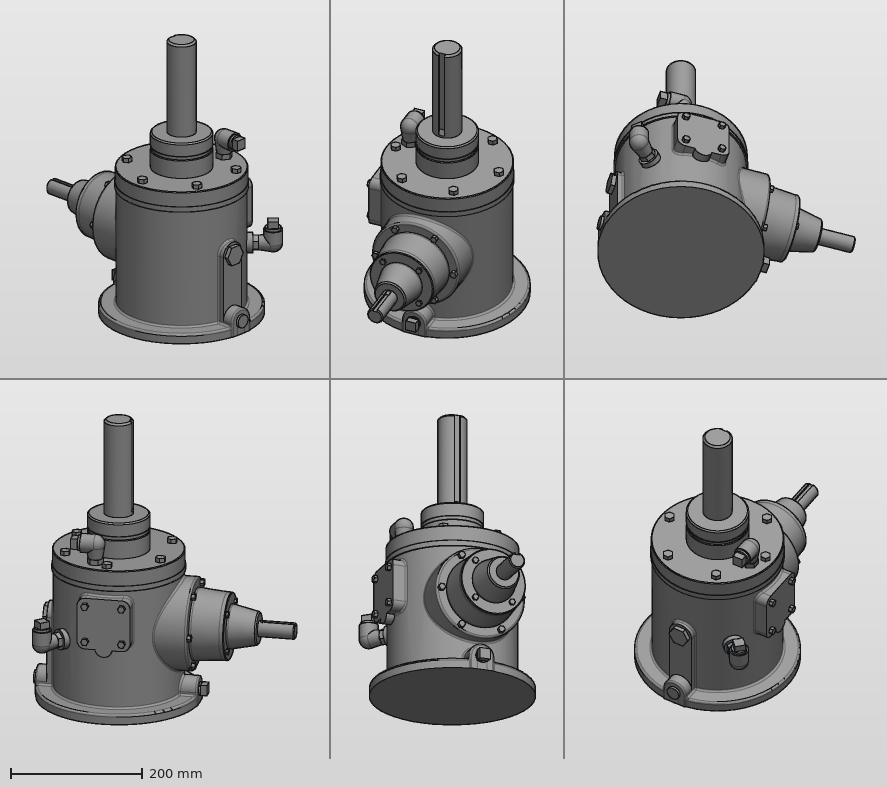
import cadquery as cq
import math

body_radius = 100.0
foot_radius = 254.0 / 2
foot_height = 16.2
foot_edge_round = 3.5
casting_fillet = 3.0
ring_bottom = 208.0
ring_radius = 102.5
lid_bottom = 216.5
lid_top = 240.8
lid_radius = 101.5
lid_chamfer = 1.5

neck_radius = 48.0
neck_top = 298.5
neck_chamfer = 2.3
groove_bottom = 269.5
groove_top = 276.5
groove_depth = 1.5
shaft_radius = 22.5
shaft_top = 451.0
shaft_chamfer = 3.0
shaft_key_width = 9.5
shaft_key_depth = 4.5
shaft_key_end = 301.5
shaft_key_ramp = 8.5

drive_height = 126.5
bell_radius = 72.5
bell_joint_x = -107.8
bell_face_x = -121.0
bell_round = 3.0
drum_rear_radius = 56.5
drum_front_radius = 52.7
drum_rear_x = -124.0
drum_front_x = -167.3
drum_face_x = -174.5
drum_chamfer = 1.5
nose_rear_radius = 34.5
nose_front_radius = 26.0
nose_rear_x = -177.0
nose_face_x = -219.0
nose_chamfer = 2.3
input_radius = 12.5
input_end_x = -276.0
input_chamfer = 2.0
input_key_width = 6.8
input_key_depth = 3.5
input_key_end_x = -221.5
input_key_ramp = 6.0

boss_radius = 20.0
boss_height = 22.0
boss_face_x = 126.5
boss_edge_round = 2.5
plug_collar_radius = 21.0 / 2
plug_collar_length = 2.5
plug_square = 16.5
plug_end_x = -139.5
cap_end_x = 130.7
rib_face_x = 108.0
rib_plug_end_x = 115.0
rib_plug_flats = 29.5

cover_face_y = 112.5
cover_height = 156.5
cover_bolt_offset = 57.3 / 2
cover_corner = 12.5
cover_half = cover_bolt_offset + cover_corner
lobe_radius = 13.5
lobe_bottom = 103.5

elbow_hex_flats = 22.0
elbow_hex_height = 8.5
elbow_stem_radius = 11.3
elbow_centre = 31.0
elbow_radius = 29.5 / 2
elbow_arm = 22.0
elbow_collar_radius = 12.0
elbow_collar_length = 4.0
elbow_square = 16.5
elbow_square_length = 11.0
lid_elbow_x = 21.0
lid_elbow_y = 71.2
side_elbow_angle = 45
side_elbow_height = 113.5
side_pad_radius = 16.0
side_pad_distance = 108.5

lid_bolt_flats = 13.5
lid_bolt_head = 6.8
lid_bolt_pitch = 171.8 / 2
bell_bolt_flats = 9.5
bell_bolt_head = 6.0
bell_bolt_pitch = 65.0
drum_bolt_flats = 8.5
drum_bolt_head = 3.4
drum_bolt_pitch = 42.5
cover_bolt_flats = 10.0
cover_bolt_head = 6.0

seat = 4.5
arch_root_x = 67.5


def frame(origin, normal, x_dir):
    return cq.Workplane(cq.Plane(origin=origin, xDir=x_dir, normal=normal))


def on_drive(x):
    """Plane across the drive axis at x, facing -X, with its local y direction along +Z."""
    return frame((x, 0, drive_height), (-1, 0, 0), (0, -1, 0))


def cylinder(base, radius, length):
    """Round bar standing on the plane base, rooted a little behind it."""
    return base.workplane(offset=-seat).circle(radius).extrude(seat + length)


def square_end(base, width, length):
    """Square bar standing on the plane base, rooted a little behind it."""
    return base.workplane(offset=-seat).rect(width, width).extrude(seat + length)


def hex_heads(base, points, flats, height, turn=0):
    """Hexagon heads on the plane base; turn spins each head about its own centre."""
    corners = flats / math.cos(math.pi / 6)
    head = cq.Workplane().polygon(6, corners).extrude(seat + height)
    head = head.rotate((0, 0, 0), (0, 0, 1), turn).val()
    heads = base.workplane(offset=-seat).pushPoints(points)
    return heads.eachpoint(head, useLocalCoordinates=True, combine="a")


def ring_points(pitch, count, start):
    angles = [math.radians(start + i * 360 / count) for i in range(count)]
    return [(pitch * math.cos(a), pitch * math.sin(a)) for a in angles]


def revolved(profile):
    """Solid of revolution about Z from (radius, height) points."""
    return cq.Workplane("XZ").polyline(profile).close().revolve(360, (0, 0), (0, 1))


def join(base, piece, radius):
    """Union with a fillet along every new edge inside the flat top of the foot."""
    joined = base.union(piece)
    old_edges = cq.Compound.makeCompound(base.edges().vals() + piece.edges().vals())
    reach = foot_radius - foot_edge_round

    def is_seam(edge):
        middle = edge.positionAt(0.5)
        inside = math.hypot(middle.x, middle.y) < reach
        return inside and old_edges.distance(cq.Vertex.makeVertex(*middle.toTuple())) > 0.05

    seams = [edge for edge in joined.edges().vals() if is_seam(edge)]
    return joined.newObject(seams).fillet(radius)


def make_arch(height, face_x):
    """Round-topped upright block running from inside the body out to face_x."""
    profile = frame((arch_root_x, 0, 0), (1, 0, 0), (0, 1, 0))
    profile = profile.moveTo(-boss_radius, 0).lineTo(-boss_radius, height)
    profile = profile.threePointArc((0, height + boss_radius), (boss_radius, height))
    return profile.lineTo(boss_radius, 0).close().extrude(face_x - arch_root_x)


def make_casting():
    """Foot, body, drive bell, foot bosses, rib and cover box, joined with soft fillets."""
    foot = cq.Workplane().circle(foot_radius).extrude(foot_height)
    foot = foot.faces(">Z").edges().fillet(foot_edge_round)
    body = cq.Workplane().circle(body_radius).extrude(ring_bottom)
    bell = on_drive(0).circle(bell_radius).extrude(-bell_joint_x)

    cover = frame((0, 0, cover_height), (0, 1, 0), (-1, 0, 0))
    cover = cover.rect(2 * cover_half, 2 * cover_half).extrude(cover_face_y)
    cover = cover.edges("|Y").fillet(cover_corner)

    rib = make_arch(drive_height, rib_face_x)
    boss = make_arch(boss_height, boss_face_x)
    boss = boss.faces(">X").edges(">Z").fillet(boss_edge_round)

    casting = body
    for piece in (bell, cover, boss.union(rib), boss.mirror("YZ"), foot):
        casting = join(casting, piece, casting_fillet)
    return casting


def make_lid():
    """Clamping ring, lid, grooved neck and six lid bolts."""
    ring = cq.Workplane().workplane(offset=ring_bottom).circle(ring_radius).extrude(lid_bottom - ring_bottom)
    lid = cq.Workplane().workplane(offset=lid_bottom).circle(lid_radius).extrude(lid_top - lid_bottom)
    lid = lid.faces(">Z").edges().chamfer(lid_chamfer)
    groove_radius = neck_radius - groove_depth
    neck = revolved([
        (0, lid_top - seat),
        (neck_radius, lid_top - seat),
        (neck_radius, groove_bottom),
        (groove_radius, groove_bottom + groove_depth),
        (groove_radius, groove_top),
        (neck_radius, groove_top),
        (neck_radius, neck_top - neck_chamfer),
        (neck_radius - neck_chamfer, neck_top),
        (0, neck_top),
    ])
    top = cq.Workplane().workplane(offset=lid_top)
    bolts = hex_heads(top, ring_points(lid_bolt_pitch, 6, 30), lid_bolt_flats, lid_bolt_head, turn=30)
    return ring.union(lid).union(neck).union(bolts)


def make_keyed_shaft(radius, start, end, chamfer, key_width, key_depth, key_end, key_ramp):
    """Shaft along Z with a keyway on its -X side, open at the top and ramping out at key_end."""
    shaft = cq.Workplane().workplane(offset=start).circle(radius).extrude(end - start)
    shaft = shaft.faces(">Z").edges().chamfer(chamfer)
    floor = -(radius - key_depth)
    keyway = cq.Workplane("XZ").polyline([
        (-radius, key_end),
        (floor, key_end + key_ramp),
        (floor, end),
        (-radius, end),
    ]).close().extrude(key_width / 2, both=True)
    return shaft.cut(keyway)


def make_output_shaft():
    return make_keyed_shaft(
        shaft_radius, neck_top - seat, shaft_top, shaft_chamfer,
        shaft_key_width, shaft_key_depth, shaft_key_end, shaft_key_ramp,
    )


def along_drive(piece):
    """Lay a piece built along +Z onto the drive axis: +Z becomes -X, and -X becomes +Z."""
    return piece.rotate((0, 0, 0), (0, 1, 0), -90).mirror("XY").translate((0, 0, drive_height))


def make_input_drive():
    """Bell flange, tapered drum, cone nose and keyed input shaft with their bolt rings."""
    flange = on_drive(bell_joint_x).circle(bell_radius).extrude(bell_joint_x - bell_face_x)
    flange = flange.faces("<X").edges().fillet(bell_round)
    housing = revolved([
        (0, -bell_joint_x),
        (drum_rear_radius, -bell_joint_x),
        (drum_rear_radius, -drum_rear_x),
        (drum_front_radius, -drum_front_x),
        (drum_front_radius, -drum_face_x - drum_chamfer),
        (drum_front_radius - drum_chamfer, -drum_face_x),
        (nose_rear_radius, -drum_face_x),
        (nose_rear_radius, -nose_rear_x),
        (nose_front_radius, -nose_face_x - nose_chamfer),
        (nose_front_radius - nose_chamfer, -nose_face_x),
        (0, -nose_face_x),
    ])
    input_shaft = make_keyed_shaft(
        input_radius, -nose_face_x - seat, -input_end_x, input_chamfer,
        input_key_width, input_key_depth, -input_key_end_x, input_key_ramp,
    )
    drive = flange.union(along_drive(housing.union(input_shaft)))
    bell_bolts = ring_points(bell_bolt_pitch, 6, 0)
    drum_bolts = ring_points(drum_bolt_pitch, 4, 45)
    drive = drive.union(hex_heads(on_drive(bell_face_x), bell_bolts, bell_bolt_flats, bell_bolt_head))
    return drive.union(hex_heads(on_drive(drum_face_x), drum_bolts, drum_bolt_flats, drum_bolt_head))


def make_foot_plugs():
    """Square-headed plug on the -X boss, cap on the +X boss and hexagon plug on the rib."""
    plug_face = frame((-boss_face_x, 0, boss_height), (-1, 0, 0), (0, 1, 0))
    plug = cylinder(plug_face, plug_collar_radius, plug_collar_length)
    plug = plug.union(square_end(plug_face, plug_square, -plug_end_x - boss_face_x))
    cap_face = frame((boss_face_x, 0, boss_height), (1, 0, 0), (0, 1, 0))
    cap = cylinder(cap_face, plug_collar_radius, cap_end_x - boss_face_x)
    rib_face = frame((rib_face_x, 0, drive_height), (1, 0, 0), (0, 1, 0))
    rib_plug = hex_heads(rib_face, [(0, 0)], rib_plug_flats, rib_plug_end_x - rib_face_x)
    return [plug, cap, rib_plug]


def make_cover_details():
    """Half-round lobe under the inspection cover and its four bolts."""
    lobe_centre = lobe_bottom + lobe_radius
    lobe = frame((0, 0, lobe_centre), (0, 1, 0), (-1, 0, 0)).circle(lobe_radius).extrude(cover_face_y)
    face = frame((0, cover_face_y, cover_height), (0, 1, 0), (-1, 0, 0))
    signs = (-1, 1)
    corners = [(i * cover_bolt_offset, j * cover_bolt_offset) for i in signs for j in signs]
    return [lobe, hex_heads(face, corners, cover_bolt_flats, cover_bolt_head)]


def make_elbow():
    """Breather elbow: hexagon foot and flared stem up Z, then a round arm along +X with a square plug."""
    foot = hex_heads(cq.Workplane(), [(0, 0)], elbow_hex_flats, elbow_hex_height)
    stem = cq.Workplane().workplane(offset=elbow_hex_height).circle(elbow_stem_radius)
    stem = stem.workplane(offset=elbow_centre - elbow_hex_height).circle(elbow_radius).loft()
    ball = cq.Workplane().sphere(elbow_radius).translate((0, 0, elbow_centre))
    arm = frame((0, 0, elbow_centre), (1, 0, 0), (0, 1, 0)).circle(elbow_radius).extrude(elbow_arm)
    collar_face = frame((elbow_arm, 0, elbow_centre), (1, 0, 0), (0, 1, 0))
    collar = cylinder(collar_face, elbow_collar_radius, elbow_collar_length)
    plug = square_end(collar_face, elbow_square, elbow_collar_length + elbow_square_length)
    return foot.union(stem).union(ball).union(arm).union(collar).union(plug)


def make_breathers():
    """One elbow on the lid pointing along +X, one on the body wall turned upward."""
    elbow = make_elbow()
    lid_elbow = elbow.translate((lid_elbow_x, lid_elbow_y, lid_top))
    side_pad = cq.Workplane("YZ").circle(side_pad_radius).extrude(side_pad_distance)
    side_elbow = elbow.rotate((0, 0, 0), (0, 1, 0), 90).rotate((0, 0, 0), (1, 0, 0), 180)
    side_elbow = side_pad.union(side_elbow.translate((side_pad_distance, 0, 0)))
    side_elbow = side_elbow.rotate((0, 0, 0), (0, 0, 1), side_elbow_angle)
    return [lid_elbow, side_elbow.translate((0, 0, side_elbow_height))]


result = make_casting().union(make_lid()).union(make_output_shaft()).union(make_input_drive())
for detail in make_foot_plugs() + make_cover_details() + make_breathers():
    result = result.union(detail)